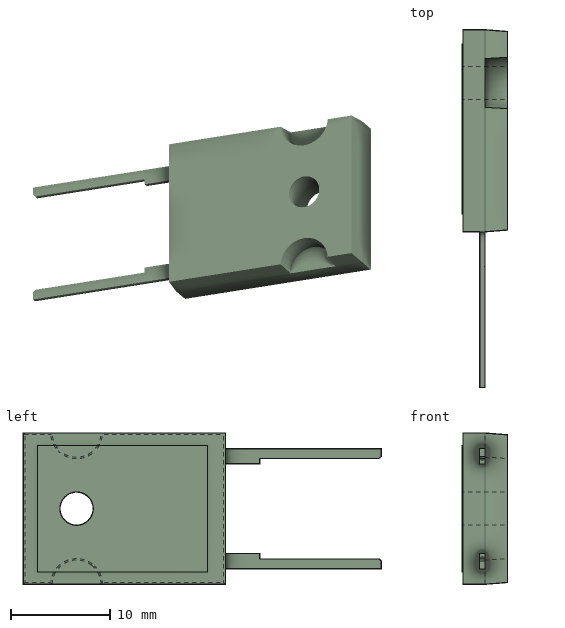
import cadquery as cq

total_length = 36.07
body_width = 15.25
total_thickness = 4.6
lead_length = 15.7
body_length = total_length - lead_length

pad_height = 0.1
parting_x = 2.35
drafted_depth = total_thickness - parting_x
draft_inset = 0.18

pad_width = 12.75
pad_rear_margin = 1.45
pad_front_margin = 1.8
pad_length = body_length - pad_rear_margin - pad_front_margin

hole_diameter = 3.32
hole_from_rear = 5.37
notch_radius = 2.45
notch_flare = 0.15

lead_outer_z = 6.05
lead_inner_z = 5.05
lead_root_inner_z = 4.5
lead_root_length = 3.45
lead_tip_chamfer = 0.2
lead_thickness = 0.55

front_y = -body_length
tip_y = -total_length
body_center_y = front_y / 2
hole_y = -hole_from_rear


def yz_plane(x, y=0, z=0):
    """Sketch plane facing +X, with local axes along Y and Z."""
    return cq.Workplane("YZ", origin=(x, y, z))


def make_body():
    straight_half = (
        yz_plane(pad_height, body_center_y)
        .rect(body_length, body_width)
        .extrude(parting_x - pad_height)
    )
    drafted_half = (
        yz_plane(parting_x, body_center_y)
        .rect(body_length, body_width)
        .workplane(offset=drafted_depth)
        .rect(body_length - 2 * draft_inset, body_width - 2 * draft_inset)
        .loft(ruled=True)
    )
    for side in (1, -1):
        drafted_half = drafted_half.cut(make_notch(side))
    return straight_half.union(drafted_half, clean=False)


def make_notch(side):
    """Conical cutter centred on the body edge, wider towards the +X face."""
    return (
        yz_plane(parting_x, hole_y, side * body_width / 2)
        .circle(notch_radius)
        .workplane(offset=drafted_depth)
        .circle(notch_radius + notch_flare)
        .loft(ruled=True)
    )


def make_pad():
    pad_center_y = -pad_rear_margin - pad_length / 2
    return yz_plane(0, pad_center_y).rect(pad_length, pad_width).extrude(pad_height)


def make_lead(side):
    step_y = front_y - lead_root_length
    outline = [
        (front_y, lead_outer_z),
        (tip_y, lead_outer_z),
        (tip_y, lead_inner_z + lead_tip_chamfer),
        (tip_y + lead_tip_chamfer, lead_inner_z),
        (step_y, lead_inner_z),
        (step_y, lead_root_inner_z),
        (front_y, lead_root_inner_z),
    ]
    return (
        yz_plane(parting_x - lead_thickness)
        .polyline([(y, side * z) for y, z in outline])
        .close()
        .extrude(lead_thickness)
    )


result = make_body().union(make_pad())
for side in (1, -1):
    result = result.union(make_lead(side))

mounting_hole = yz_plane(0, hole_y).circle(hole_diameter / 2).extrude(total_thickness)
result = result.cut(mounting_hole)